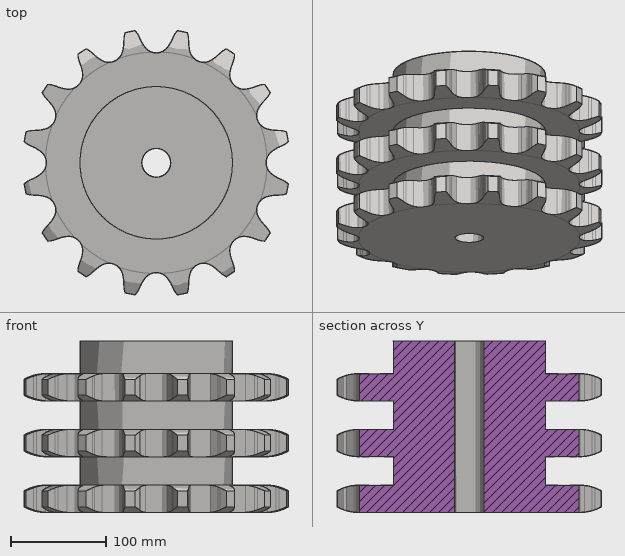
import cadquery as cq
import math


tooth_count = 16
chain_pitch = 50.8
roller_diameter = 29.0
strand_count = 3
strand_spacing = 58.5

overall_size = 277.5
overall_height = 180.0
hub_diameter = 160.0
bore_diameter = 30.0

disc_thickness = 28.8
tip_thickness = 16.6
side_rounding_radius = chain_pitch

half_pitch_angle = math.pi / tooth_count
pitch_radius = chain_pitch / (2 * math.sin(half_pitch_angle))
seat_radius = 14.7
seat_half_angle = math.radians(55 - 60 / tooth_count)
flank_arc_angle = math.radians(18 - 56 / tooth_count)
flank_radius = 1.3 * roller_diameter
straight_flank_length = 3.3
tip_arc_radius = 24.5
tip_arc_sweep = math.radians(40)
tip_half_angle = math.radians(2.15)

tip_radius = overall_size / 2 / math.cos(half_pitch_angle - tip_half_angle)

side_drop = (disc_thickness - tip_thickness) / 2
rounding_width = math.sqrt(side_rounding_radius**2 - (side_rounding_radius - side_drop) ** 2)
rounding_start_radius = tip_radius - rounding_width


def polar(center, radius, angle):
    """Point at the given radius from a center; angle is measured from +X."""
    return (center[0] + radius * math.cos(angle), center[1] + radius * math.sin(angle))


def mirrored(point):
    """Point reflected across the Y axis."""
    return (-point[0], point[1])


def make_tooth_gap():
    """Cutter for the tooth space centered on +Y, symmetric about the YZ plane."""
    seat_center = (0, pitch_radius)
    seat_bottom = (0, pitch_radius - seat_radius)

    seat_end_angle = seat_half_angle - math.pi / 2
    seat_end = polar(seat_center, seat_radius, seat_end_angle)

    flank_center = polar(seat_end, flank_radius, seat_end_angle + math.pi)
    flank_end_angle = seat_end_angle + flank_arc_angle
    flank_middle = polar(flank_center, flank_radius, seat_end_angle + flank_arc_angle / 2)
    flank_end = polar(flank_center, flank_radius, flank_end_angle)

    straight_end = polar(flank_end, straight_flank_length, flank_end_angle + math.pi / 2)

    tip_center = polar(straight_end, tip_arc_radius, flank_end_angle)
    tip_start_angle = flank_end_angle + math.pi
    tip_end_angle = tip_start_angle - tip_arc_sweep
    tip_middle = polar(tip_center, tip_arc_radius, (tip_start_angle + tip_end_angle) / 2)
    tip_end = polar(tip_center, tip_arc_radius, tip_end_angle)

    return (
        cq.Workplane("XY")
        .moveTo(*mirrored(seat_end))
        .threePointArc(seat_bottom, seat_end)
        .threePointArc(flank_middle, flank_end)
        .lineTo(*straight_end)
        .threePointArc(tip_middle, tip_end)
        .lineTo(*mirrored(tip_end))
        .threePointArc(mirrored(tip_middle), mirrored(straight_end))
        .lineTo(*mirrored(flank_end))
        .threePointArc(mirrored(flank_middle), mirrored(seat_end))
        .close()
        .extrude(disc_thickness)
    )


def make_blank():
    """Untoothed disc resting on Z = 0, with both sides rounded toward the rim."""
    arc_middle_angle = math.asin(rounding_width / side_rounding_radius) / 2
    arc_middle_radius = rounding_start_radius + side_rounding_radius * math.sin(arc_middle_angle)
    arc_middle_drop = side_rounding_radius * (1 - math.cos(arc_middle_angle))
    return (
        cq.Workplane("XZ")
        .lineTo(rounding_start_radius, 0)
        .threePointArc((arc_middle_radius, arc_middle_drop), (tip_radius, side_drop))
        .lineTo(tip_radius, disc_thickness - side_drop)
        .threePointArc(
            (arc_middle_radius, disc_thickness - arc_middle_drop),
            (rounding_start_radius, disc_thickness),
        )
        .lineTo(0, disc_thickness)
        .close()
        .revolve(360, (0, 0, 0), (0, 1, 0))
    )


def make_toothed_disc():
    """Rounded disc with a tooth gap cut at every pitch, the first one on +Y."""
    disc = make_blank()
    gap = make_tooth_gap()
    for index in range(tooth_count):
        disc = disc.cut(gap.rotate((0, 0, 0), (0, 0, 1), index * 360 / tooth_count))
    return disc


sprocket = cq.Workplane("XY").circle(hub_diameter / 2).extrude(overall_height)
toothed_disc = make_toothed_disc()
for strand in range(strand_count):
    sprocket = sprocket.union(toothed_disc.translate((0, 0, strand * strand_spacing)))

bore = cq.Workplane("XY").circle(bore_diameter / 2).extrude(overall_height)
result = sprocket.cut(bore)